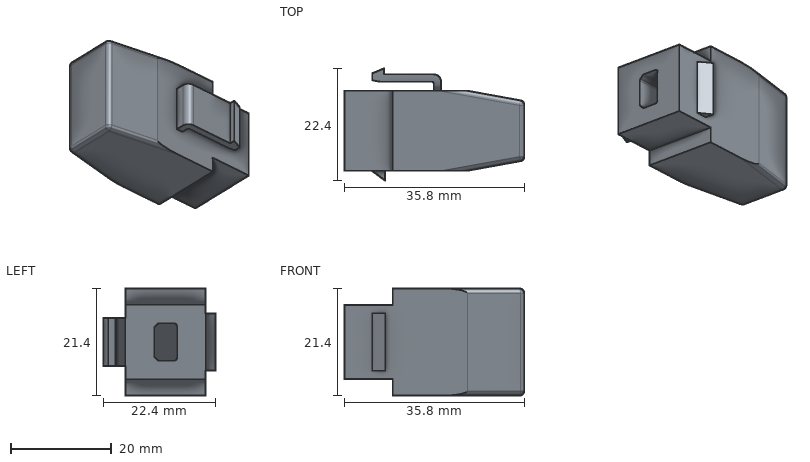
import cadquery as cq
import math

length = 35.8
body_width = 15.97
body_height = 21.35
neck_length = 9.65
neck_height = 14.8
taper_start = 24.45
taper_angle = 10.3
rear_radius = 1.0

socket_width = 4.6
socket_height = 7.5
socket_depth = neck_length
socket_chamfer = 0.85
socket_radius = 0.65
socket_chamfer_blend = 0.55

latch_tip_x = 5.5
latch_hook_x = 7.9
latch_leg_x = 19.25
latch_thickness = 1.5
latch_arm_top = 3.25
latch_hook_top = 4.45
latch_nose_top = 3.45
latch_nose_bottom = 2.05
latch_nose_length = 1.47
latch_outer_radius = 1.5
latch_inner_radius = 0.32
latch_height = 9.6

catch_tip_x = latch_tip_x
catch_length = 2.6
catch_rise = 1.97
catch_height = 11.35

half_width = body_width / 2
embed = 0.35


def extrude_centered(outline, height):
    """Extrude an XY outline equally above and below Z = 0."""
    return cq.Workplane("XY").polyline(outline).close().extrude(height / 2, both=True)


def make_housing():
    """The filleted wedge, continued forward past the body sides, trims the block."""
    slope = math.tan(math.radians(taper_angle))
    front_half = half_width + slope * (taper_start - neck_length)
    rear_half = half_width - slope * (length - taper_start)
    wedge_outline = [
        (neck_length, -front_half),
        (length, -rear_half),
        (length, rear_half),
        (neck_length, front_half),
    ]
    wedge = extrude_centered(wedge_outline, body_height)
    taper_edges = wedge.faces(">X or >Z or <Z").edges("not <X")
    wedge = taper_edges.fillet(rear_radius)
    block = cq.Workplane("XY").box(length, body_width, body_height, centered=(False, True, True))
    neck = cq.Workplane("XY").box(neck_length, body_width, neck_height, centered=(False, True, True))
    return block.intersect(wedge).union(neck)


def make_socket():
    socket = cq.Workplane("XY").box(
        socket_depth, socket_width, socket_height, centered=(False, True, True)
    )
    socket = socket.edges("|X and <Y").fillet(socket_radius)
    socket = socket.edges("|X and >Y").chamfer(socket_chamfer)
    blend_limit = socket_width / 2 - socket_chamfer - socket_chamfer_blend
    chamfer_edges = cq.selectors.BoxSelector(
        (0, blend_limit, -socket_height), (socket_depth, socket_width, socket_height)
    )
    return socket.edges("|X").edges(chamfer_edges).fillet(socket_chamfer_blend)


def make_latch():
    arm_bottom = latch_arm_top - latch_thickness
    leg_front_x = latch_leg_x - latch_thickness
    profile = (
        cq.Workplane("XY", origin=(0, half_width, 0))
        .moveTo(latch_leg_x, -embed)
        .lineTo(latch_leg_x, latch_arm_top - latch_outer_radius)
        .radiusArc((latch_leg_x - latch_outer_radius, latch_arm_top), -latch_outer_radius)
        .lineTo(latch_hook_x, latch_arm_top)
        .lineTo(latch_hook_x, latch_hook_top)
        .lineTo(latch_tip_x, latch_nose_top)
        .lineTo(latch_tip_x, latch_nose_bottom)
        .lineTo(latch_tip_x + latch_nose_length, arm_bottom)
        .lineTo(leg_front_x - latch_inner_radius, arm_bottom)
        .radiusArc((leg_front_x, arm_bottom - latch_inner_radius), latch_inner_radius)
        .lineTo(leg_front_x, -embed)
        .close()
    )
    return profile.extrude(latch_height / 2, both=True)


def make_catch():
    catch_back_x = catch_tip_x + catch_length
    outline = [
        (catch_tip_x, -half_width),
        (catch_back_x, -half_width - catch_rise),
        (catch_back_x, -half_width),
    ]
    return extrude_centered(outline, catch_height)


result = make_housing().cut(make_socket()).union(make_latch()).union(make_catch())